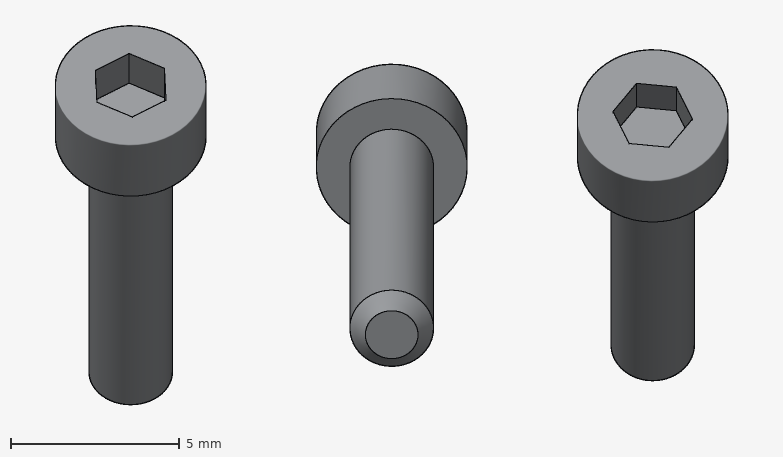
import math

import cadquery as cq

total_length = 14.5
head_diameter = 4.5
head_height = 2.5
shank_diameter = 2.5
head_edge_round = 0.03
tip_chamfer = 0.46
hex_across_flats = 2.06
socket_depth = 1.45

shank_length = total_length - head_height
hex_across_corners = hex_across_flats / math.cos(math.pi / 6)


def make_body():
    """Shank and head, with the head's top rim rounded and the tip chamfered."""
    shank = cq.Workplane("XY").circle(shank_diameter / 2).extrude(shank_length)
    shank = shank.faces("<Z").edges().chamfer(tip_chamfer)
    head = (
        cq.Workplane("XY", origin=(0, 0, shank_length))
        .circle(head_diameter / 2)
        .extrude(head_height)
    )
    head = head.faces(">Z").edges().fillet(head_edge_round)
    return shank.union(head)


def make_socket():
    """Hexagonal drive recess with two corners on the X axis."""
    return (
        cq.Workplane("XY", origin=(0, 0, total_length))
        .polygon(6, hex_across_corners)
        .extrude(-socket_depth)
    )


result = make_body().cut(make_socket())